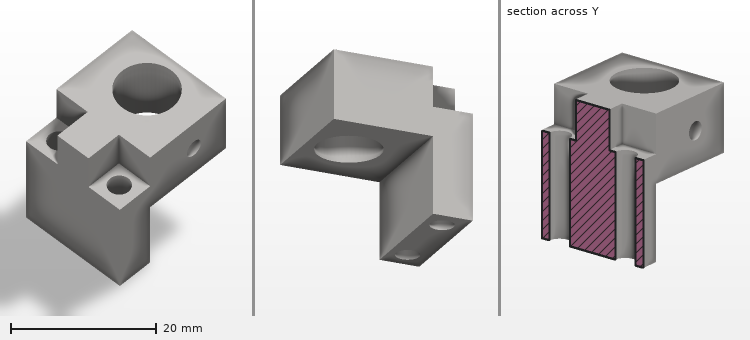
import cadquery as cq

width = 18.0
depth = 21.0
height = 22.0

plate_thickness = 6.0
block_height = 10.4
notch_size = 6.0

bore_diameter = 9.6
bore_to_back = 6.34
bore_y = depth / 2 - bore_to_back

screw_diameter = 3.5
screw_spacing = 11.6
screw_to_front = 3.2
screw_y = screw_to_front - depth / 2

set_screw_diameter = 2.8
set_screw_z = height - block_height / 2


def make_body():
    """L profile in the YZ plane, extruded symmetrically across the width."""
    front = -depth / 2
    back = depth / 2
    plate_back = front + plate_thickness
    block_bottom = height - block_height
    profile = [
        (front, 0),
        (plate_back, 0),
        (plate_back, block_bottom),
        (back, block_bottom),
        (back, height),
        (front, height),
    ]
    return cq.Workplane("YZ").polyline(profile).close().extrude(width / 2, both=True)


def make_corner_notch(side):
    """Cube removed from a top front corner; side is -1 or +1 along X."""
    center = (
        side * (width - notch_size) / 2,
        (notch_size - depth) / 2,
        height - notch_size / 2,
    )
    return cq.Workplane("XY").box(notch_size, notch_size, notch_size).translate(center)


def make_vertical_hole(x, y, diameter):
    """Cylinder through the full height."""
    return cq.Workplane("XY").center(x, y).circle(diameter / 2).extrude(height)


def make_set_screw_hole():
    """Cylinder from the bore axis out through the +X face."""
    return (
        cq.Workplane("YZ")
        .center(bore_y, set_screw_z)
        .circle(set_screw_diameter / 2)
        .extrude(width / 2)
    )


result = make_body()
for side in (-1, 1):
    result = result.cut(make_corner_notch(side))
    result = result.cut(make_vertical_hole(side * screw_spacing / 2, screw_y, screw_diameter))
result = result.cut(make_vertical_hole(0, bore_y, bore_diameter))
result = result.cut(make_set_screw_hole())